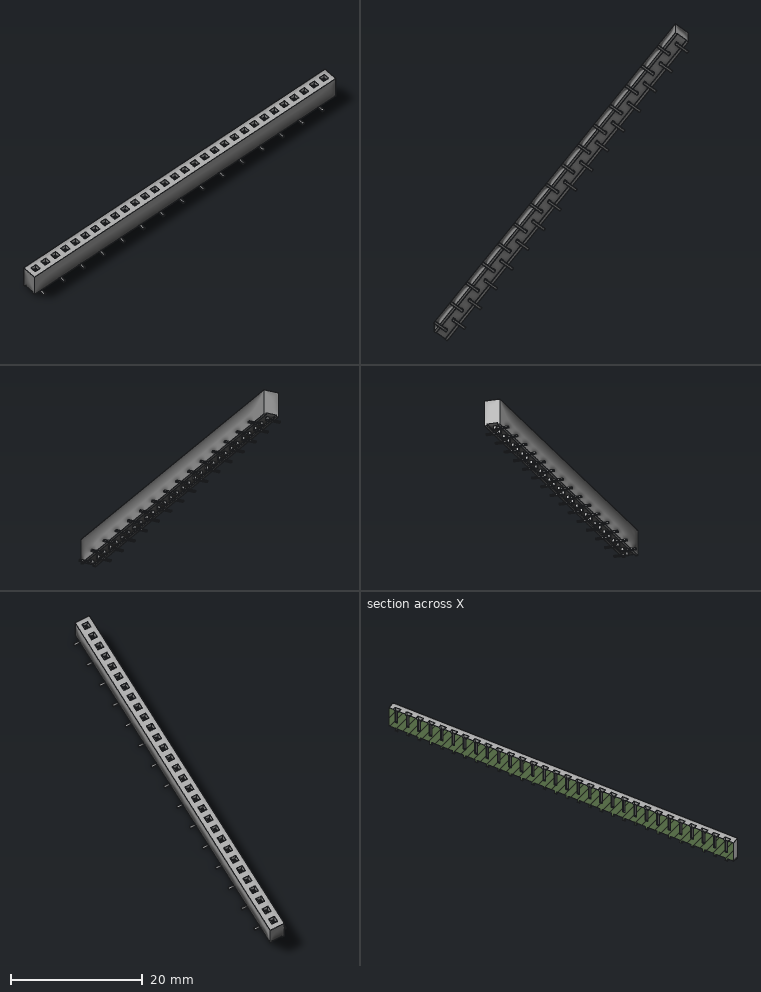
import cadquery as cq

contact_count = 30
pitch = 2.0
end_margin = 1.3
body_width = 2.5
body_length = (contact_count - 1) * pitch + 2 * end_margin
total_height = 4.3
first_contact_y = body_length / 2 - end_margin

lead_span = 4.3
lead_width = 0.4
lead_thickness = 0.2

standoff = 0.25
channel_width = 1.7
channel_depth = 0.25
channel_roof = standoff + channel_depth

funnel_opening = 1.0
funnel_depth = 0.3
socket_size = 0.4
socket_depth = 2.5


def make_body():
    """Rectangular housing with a channel along its underside."""
    underside = cq.Workplane("XY", origin=(0, 0, standoff))
    housing = underside.rect(body_width, body_length).extrude(total_height - standoff)
    channel = underside.rect(channel_width, body_length).extrude(channel_depth)
    return housing.cut(channel)


def make_socket(y):
    """Cutter for one socket: a square funnel and the straight hole below it."""
    mouth = cq.Workplane("XY", origin=(0, y, total_height))
    funnel = (
        mouth.rect(funnel_opening, funnel_opening)
        .workplane(offset=-funnel_depth)
        .rect(socket_size, socket_size)
        .loft(ruled=True)
    )
    hole = mouth.rect(socket_size, socket_size).extrude(-socket_depth)
    return funnel.union(hole)


def make_lead(y, side):
    """Flat foot reaching out to one side, with a stem rising to the roof of the channel."""
    tip_distance = lead_span / 2
    foot_length = tip_distance + lead_width / 2
    foot_x = side * (tip_distance - foot_length / 2)
    foot = cq.Workplane("XY", origin=(foot_x, y, 0)).rect(foot_length, lead_width).extrude(lead_thickness)
    stem = cq.Workplane("XY", origin=(0, y, 0)).rect(lead_width, lead_width).extrude(channel_roof)
    return foot.union(stem)


result = make_body()
for index in range(contact_count):
    contact_y = first_contact_y - index * pitch
    lead_side = -1 if index % 2 == 0 else 1
    result = result.cut(make_socket(contact_y))
    result = result.union(make_lead(contact_y, lead_side))